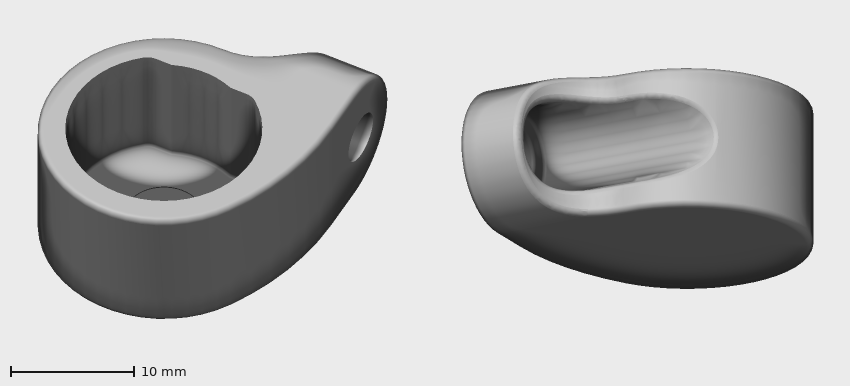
import cadquery as cq
import math

overall_length = 26.75
overall_width = 22.25
height = 12.0
body_radius = 10.25
neck_center_x = 0.27
side_blend_top_y = 6.53
outer_fillet = 0.5

pocket_radius = 8.0
pocket_flat_y = 6.5
pocket_bump_radius = 7.04
pocket_corner_fillet = 1.5
pocket_bump_fillet = 0.5
pocket_draft = 0.2
pocket_floor_fillet = 0.27
floor_thickness = 1.5
recess_radius = 3.26
recess_depth = 0.1

bolt_to_boss_top = 5.0
hole_radius = 2.15
hole_mouth_fillet = 0.3
seat_thickness = 3.0
counterbore_radius = 3.77
counterbore_draft = 0.5
counterbore_floor_fillet = 0.27
counterbore_rim_fillet = 0.5

mid_z = height / 2
boss_top_y = overall_length - body_radius
boss_end_x = overall_width - body_radius
boss_axis_y = boss_top_y - height / 2
bolt_axis_y = boss_top_y - bolt_to_boss_top
seat_x = boss_end_x - seat_thickness

selection_margin = 0.05


def on_circle(center, radius, angle):
    """Point on a circle at an angle in radians."""
    return (center[0] + radius * math.cos(angle), center[1] + radius * math.sin(angle))


def make_teardrop_slab():
    """Round body flowing through a concave neck and a side blend into the boss."""
    body_center = (0, 0)

    neck_center = (neck_center_x, boss_top_y)
    neck_radius = math.hypot(*neck_center) - body_radius
    neck_angle = math.atan2(boss_top_y, neck_center_x)
    neck_start = on_circle(body_center, body_radius, neck_angle)
    neck_middle = on_circle(neck_center, neck_radius, (neck_angle - math.pi) / 2)
    neck_end = on_circle(neck_center, neck_radius, 0)

    overhang = boss_end_x - body_radius
    blend_offset = (overhang**2 + side_blend_top_y**2) / (2 * overhang)
    blend_radius = body_radius + blend_offset
    blend_center = (boss_end_x - blend_radius, side_blend_top_y)
    blend_angle = -math.atan2(side_blend_top_y, blend_offset - overhang)
    blend_middle = on_circle(blend_center, blend_radius, blend_angle / 2)
    blend_end = on_circle(body_center, body_radius, blend_angle)

    return (
        cq.Workplane("XY")
        .moveTo(*neck_start)
        .threePointArc(neck_middle, neck_end)
        .lineTo(boss_end_x, boss_top_y)
        .lineTo(boss_end_x, side_blend_top_y)
        .threePointArc(blend_middle, blend_end)
        .threePointArc((-body_radius, 0), neck_start)
        .close()
        .extrude(height)
    )


def make_body():
    """Teardrop slab with the boss rounded about X and all outer edges filleted."""
    side_profile = (
        cq.Workplane("YZ", origin=(-body_radius, 0, 0))
        .moveTo(-body_radius, 0)
        .lineTo(boss_axis_y, 0)
        .threePointArc((boss_top_y, mid_z), (boss_axis_y, height))
        .lineTo(-body_radius, height)
        .close()
        .extrude(overall_width)
    )
    body = make_teardrop_slab().intersect(side_profile)
    return body.faces(">X").edges().fillet(outer_fillet)


def bolt_zone(x_min, x_max, reach):
    """Selector for edges lying wholly within a square bar around the bolt axis."""
    return cq.selectors.BoxSelector(
        (x_min, bolt_axis_y - reach, mid_z - reach),
        (x_max, bolt_axis_y + reach, mid_z + reach),
        boundingbox=True,
    )


def cut_counterbore(body):
    """Drafted counterbore that runs out through the neck and body towards -X."""
    length = seat_x + body_radius
    tool = (
        cq.Workplane("YZ", origin=(seat_x, bolt_axis_y, mid_z))
        .circle(counterbore_radius)
        .extrude(-length, taper=-counterbore_draft)
        .faces(">X")
        .edges()
        .fillet(counterbore_floor_fillet)
    )
    body = body.cut(tool)
    widest_radius = counterbore_radius + length * math.tan(math.radians(counterbore_draft))
    floor_fillet_x = seat_x - counterbore_floor_fillet
    rim_zone = bolt_zone(-body_radius, floor_fillet_x - selection_margin, widest_radius + selection_margin)
    return body.edges(rim_zone).edges("not |X").fillet(counterbore_rim_fillet)


def cut_bolt_hole(body):
    """Through hole with a rounded mouth at the counterbore floor."""
    tool = (
        cq.Workplane("YZ", origin=(seat_x, bolt_axis_y, mid_z))
        .circle(hole_radius)
        .extrude(seat_thickness)
    )
    mouth_zone = bolt_zone(
        seat_x - selection_margin, seat_x + selection_margin, hole_radius + selection_margin
    )
    return body.cut(tool).edges(mouth_zone).fillet(hole_mouth_fillet)


def make_pocket():
    """Round pocket with a flat on its +Y side and a shallow bump in that flat."""
    flat_half_width = math.sqrt(pocket_radius**2 - pocket_flat_y**2)
    bump_half_width = math.sqrt(pocket_bump_radius**2 - pocket_flat_y**2)
    flat_left = (-flat_half_width, pocket_flat_y)
    flat_right = (flat_half_width, pocket_flat_y)
    bump_left = (-bump_half_width, pocket_flat_y)
    bump_right = (bump_half_width, pocket_flat_y)
    bump_ends = cq.selectors.BoxSelector(
        (bump_left[0] - selection_margin, pocket_flat_y - selection_margin, -selection_margin),
        (bump_right[0] + selection_margin, pocket_flat_y + selection_margin, selection_margin),
    )
    outline = (
        cq.Sketch()
        .arc(flat_right, (0, -pocket_radius), flat_left)
        .segment(bump_left)
        .arc((0, pocket_bump_radius), bump_right)
        .close()
        .assemble()
        .vertices("<X or >X")
        .fillet(pocket_corner_fillet)
        .reset()
        .vertices(bump_ends)
        .fillet(pocket_bump_fillet)
        .reset()
    )
    return (
        cq.Workplane("XY", origin=(0, 0, height))
        .placeSketch(outline)
        .extrude(floor_thickness - height, taper=pocket_draft)
        .faces("<Z")
        .edges()
        .fillet(pocket_floor_fillet)
    )


def make_floor_recess():
    """Shallow round recess in the middle of the pocket floor."""
    return (
        cq.Workplane("XY", origin=(0, 0, floor_thickness))
        .circle(recess_radius)
        .extrude(-recess_depth)
    )


result = make_body()
result = cut_counterbore(result)
result = cut_bolt_hole(result)
result = result.cut(make_pocket())
result = result.cut(make_floor_recess()).solids()